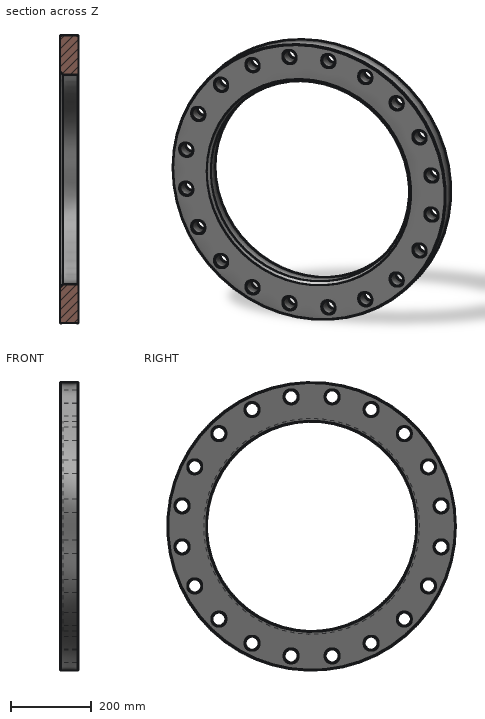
import cadquery as cq

thickness = 46.0
outer_diameter = 715.0
bore_diameter = 519.0
front_bore_chamfer = 8.0
edge_chamfer = 2.0

bolt_count = 20
bolt_circle_diameter = 650.0
bolt_hole_diameter = 33.0


def make_ring():
    """Flat ring with both rim edges and both bore edges chamfered."""
    disc = cq.Workplane("YZ").circle(outer_diameter / 2).extrude(thickness)
    disc = disc.edges("%CIRCLE").chamfer(edge_chamfer)
    ring = disc.cut(cq.Workplane("YZ").circle(bore_diameter / 2).extrude(thickness))
    bore_edge = cq.selectors.RadiusNthSelector(0)
    ring = ring.faces("<X").edges(bore_edge).chamfer(front_bore_chamfer)
    return ring.faces(">X").edges(bore_edge).chamfer(edge_chamfer)


def make_bolt_hole():
    """Cutter for one through hole on the X axis, flared at both ends by the edge chamfer."""
    radius = bolt_hole_diameter / 2
    mouth_radius = radius + edge_chamfer
    half_profile = [
        (0, 0),
        (0, mouth_radius),
        (edge_chamfer, radius),
        (thickness - edge_chamfer, radius),
        (thickness, mouth_radius),
        (thickness, 0),
    ]
    profile = cq.Workplane("XY").polyline(half_profile).close()
    return profile.revolve(360, (0, 0, 0), (1, 0, 0))


def cut_bolt_holes(ring):
    """Cut the evenly spaced holes, set half a pitch off the Y and Z axes."""
    pitch_angle = 360.0 / bolt_count
    first_hole = make_bolt_hole().translate((0, bolt_circle_diameter / 2, 0))
    for index in range(bolt_count):
        angle = pitch_angle / 2 + index * pitch_angle
        ring = ring.cut(first_hole.rotate((0, 0, 0), (1, 0, 0), angle))
    return ring


result = cut_bolt_holes(make_ring())